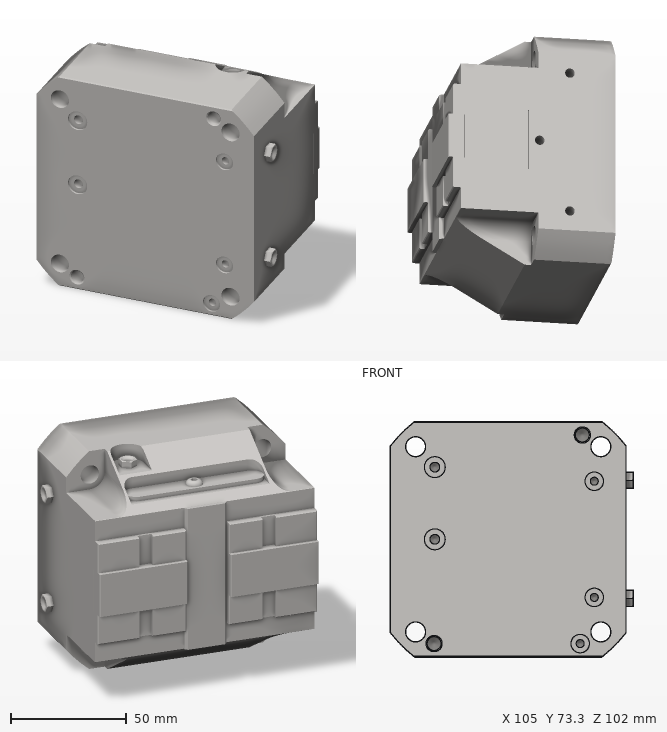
import cadquery as cq
import math

housing_side = 102.0
half_side = housing_side / 2
front_y = 67.9
corner_turning_diameter = 130.0
rear_chamfer = 0.5

slope_angle = 30.0
slope_start_z = 33.0

bolt_offset = 40.0
bolt_hole_diameter = 8.5
bolt_recess_radius = 6.9
bolt_recess_floor_y = 33.9

jaw_inner_x = 10.0
jaw_length = half_side - jaw_inner_x
jaw_top_y = 71.3
jaw_shoulder_y = 61.3
jaw_flange_rear_y = 52.6
jaw_rear_y = 38.1
jaw_neck_half_width = 23.6
jaw_flange_half_width = 29.2
jaw_tongue_half_width = 13.4
jaw_edge_chamfer = 0.4

key_notch_centre = 28.7
key_notch_width = 6.3
key_notch_floor_y = 69.1

insert_top_y = 73.3
insert_rear_y = 66.0
insert_half_width = 9.9
insert_chamfer = 0.5

rib_top_y = 69.8
rib_shoulder_y = 68.7
rib_base_half_width = 9.7
rib_top_half_width = 8.5

window_half_length = 32.0
window_floor_z = 35.9
window_centre_y = 55.3
window_width = 10.1
plate_thickness = 2.0

button_diameter = 7.6
button_flat_diameter = 3.8
button_height = 2.0
button_bulge = 0.5
button_socket_across_flats = 2.7
button_socket_depth = 1.5

port_x = 24.5
port_y = 39.4
port_seat_diameter = 15.0
port_seat_z = 44.1

side_port_y = 15.1
side_port_z = 25.5

plug_height = 3.0
plug_mouth_diameter = 6.0
plug_bevel_angle = 30.0
hex_across_flats = 7.0

drill_point_angle = 118.0
through = 3 * housing_side


def box(x_range, y_range, z_range):
    """Axis-aligned box given by its limits along X, Y and Z."""
    sizes = [high - low for low, high in (x_range, y_range, z_range)]
    corner = (x_range[0], y_range[0], z_range[0])
    return cq.Workplane("XY").box(*sizes, centered=False).translate(corner)


def across_corners(across_flats):
    """Width of a hexagon over its corners."""
    return across_flats / math.cos(math.radians(30))


def drill_point(point, direction, diameter):
    """Conical end of a drilled hole, with its base centred on the point; point and direction are vectors."""
    radius = diameter / 2
    length = radius / math.tan(math.radians(drill_point_angle / 2))
    return cq.Solid.makeCone(radius, 0, length, point, direction)


def drilled_hole(point, direction, diameter, depth):
    """Blind hole with a conical bottom, as a solid to cut away; point and direction are vectors."""
    bore = cq.Solid.makeCylinder(diameter / 2, depth, point, direction)
    return cq.Workplane(bore.fuse(drill_point(point + direction * depth, direction, diameter)))


def tee_profile(x_start):
    """Stepped jaw section, extruded over one jaw length from x_start toward +X."""
    half_outline = [
        (jaw_top_y, jaw_neck_half_width),
        (jaw_shoulder_y, jaw_neck_half_width),
        (jaw_shoulder_y, jaw_flange_half_width),
        (jaw_flange_rear_y, jaw_flange_half_width),
        (jaw_flange_rear_y, jaw_tongue_half_width),
        (jaw_rear_y, jaw_tongue_half_width),
    ]
    mirrored = [(y, -z) for y, z in reversed(half_outline)]
    section = cq.Workplane("YZ", origin=(x_start, 0, 0)).polyline(half_outline + mirrored).close()
    return section.extrude(jaw_length)


def jaw_start(side):
    """Lower X limit of the jaw on the given side (-1 or 1)."""
    return jaw_inner_x if side > 0 else -half_side


def housing_blank():
    """Block with sloping upper and lower faces and corners turned about Y."""
    slope_run = (half_side - slope_start_z) / math.tan(math.radians(slope_angle))
    side_profile = [
        (0, -half_side),
        (0, half_side),
        (front_y - slope_run, half_side),
        (front_y, slope_start_z),
        (front_y, -slope_start_z),
        (front_y - slope_run, -half_side),
    ]
    blank = (
        cq.Workplane("YZ", origin=(-half_side, 0, 0))
        .polyline(side_profile)
        .close()
        .extrude(housing_side)
    )
    blank = blank.faces("<Y").edges("<Z or >Z").chamfer(rear_chamfer)
    turned = cq.Workplane("XZ").circle(corner_turning_diameter / 2).extrude(-front_y)
    return blank.intersect(turned)


def cut_bolt_corners(body):
    """Through hole at each corner, with a deep recess that is open to both outer sides."""
    for side_x in (-1, 1):
        for side_z in (-1, 1):
            x, z = side_x * bolt_offset, side_z * bolt_offset
            reach = bolt_recess_radius
            plan = cq.Workplane("XZ", origin=(x, bolt_recess_floor_y, z))
            recess = plan.circle(reach).extrude(-through)
            for width, height, dx, dz in (
                (through, 2 * reach, through / 2, 0),
                (2 * reach, through, 0, through / 2),
                (through, through, through / 2, through / 2),
            ):
                recess = recess.union(
                    plan.center(side_x * dx, side_z * dz).rect(width, height).extrude(-through)
                )
            hole = cq.Workplane("XZ", origin=(x, 0, z)).circle(bolt_hole_diameter / 2).extrude(-through)
            body = body.cut(recess).cut(hole)
    return body


def cut_jaw_seats(body):
    """Stepped seats that the jaws fill."""
    for side in (-1, 1):
        body = body.cut(tee_profile(jaw_start(side)))
    return body


def add_front_rib(body):
    """Rib across the front face between the jaws, with sloping flanks."""
    half_section = [
        (rib_base_half_width, front_y),
        (rib_base_half_width, rib_shoulder_y),
        (rib_top_half_width, rib_top_y),
    ]
    mirrored = [(-x, y) for x, y in reversed(half_section)]
    section = cq.Workplane("XY", origin=(0, 0, -slope_start_z)).polyline(half_section + mirrored).close()
    return body.union(section.extrude(2 * slope_start_z))


def window_slot(height):
    """Round-ended block standing on the floor of the long pocket."""
    plan = cq.Workplane("XY", origin=(0, window_centre_y, window_floor_z))
    return plan.slot2D(2 * window_half_length, window_width).extrude(height)


def cut_window(body):
    """Long pocket in the upper slope: round corners at the rear, square and open toward the front."""
    front_part = box(
        (-window_half_length, window_half_length),
        (window_centre_y, through),
        (window_floor_z, through),
    )
    return body.cut(window_slot(through)).cut(front_part)


def cut_port_seat(body):
    """Flat round-ended seat in the upper slope, open toward the front."""
    radius = port_seat_diameter / 2
    seat = cq.Workplane("XY", origin=(port_x, port_y, port_seat_z)).circle(radius).extrude(through)
    open_part = box((port_x - radius, port_x + radius), (port_y, through), (port_seat_z, through))
    return body.cut(seat).cut(open_part)


def cut_rear_holes(body):
    """Counterbored and countersunk blind holes in the rear mounting face."""
    counterbored = [
        (-31.7, 31.2, 9.0, 4.2),
        (-31.7, 0.0, 9.0, 4.2),
        (37.2, 25.1, 8.0, 3.5),
        (37.2, -25.1, 8.0, 3.5),
        (31.1, -45.0, 8.0, 3.5),
    ]
    counterbore_depth = 1.0
    hole_depth = 10.5
    inward = cq.Vector(0, 1, 0)
    for x, z, wide, narrow in counterbored:
        mouth = cq.Vector(x, 0, z)
        seat = cq.Solid.makeCylinder(wide / 2, counterbore_depth, mouth, inward)
        body = body.cut(cq.Workplane(seat)).cut(drilled_hole(mouth, inward, narrow, hole_depth))

    dowel_x, dowel_z = 32.0, 45.0
    dowel_diameter, countersink_diameter = 6.0, 7.0
    countersink_depth = (countersink_diameter - dowel_diameter) / 2
    for side in (-1, 1):
        mouth = cq.Vector(side * dowel_x, 0, side * dowel_z)
        countersink = cq.Solid.makeCone(
            countersink_diameter / 2, dowel_diameter / 2, countersink_depth, mouth, inward
        )
        body = body.cut(cq.Workplane(countersink))
        body = body.cut(drilled_hole(mouth, inward, dowel_diameter, hole_depth))
    return body


def cut_side_holes(body):
    """Blind holes in the -X face."""
    side_hole_diameter = 4.2
    side_hole_depth = 10.5
    inward = cq.Vector(1, 0, 0)
    for y, z in ((20.1, 31.5), (33.3, 0.0), (20.1, -31.5)):
        mouth = cq.Vector(-half_side, y, z)
        body = body.cut(drilled_hole(mouth, inward, side_hole_diameter, side_hole_depth))
    return body


def make_jaw(side):
    """Stepped jaw with a cross notch and a lengthwise groove for its insert."""
    start = jaw_start(side)
    jaw = tee_profile(start)
    jaw = jaw.faces(">Y").chamfer(jaw_edge_chamfer)
    jaw = jaw.faces("<Y").edges("|Z").chamfer(jaw_edge_chamfer)
    notch_x = side * key_notch_centre
    notch = box(
        (notch_x - key_notch_width / 2, notch_x + key_notch_width / 2),
        (key_notch_floor_y, through),
        (-through, through),
    )
    insert_groove = box(
        (start, start + jaw_length), (insert_rear_y, through), (-insert_half_width, insert_half_width)
    )
    return jaw.cut(notch).cut(insert_groove)


def make_jaw_insert(side):
    """Bar that fills the groove of the jaw and stands above it."""
    start = jaw_start(side)
    bar = box(
        (start, start + jaw_length),
        (insert_rear_y, insert_top_y),
        (-insert_half_width, insert_half_width),
    )
    bar = bar.faces(">Y").edges("|Z").chamfer(insert_chamfer)
    return bar.faces("<Y").edges("|Z").chamfer(jaw_edge_chamfer)


def make_button():
    """Domed screw head with a hexagonal socket, built at the middle of the plate."""
    rim, flat = button_diameter / 2, button_flat_diameter / 2
    cone_side = math.hypot(rim - flat, button_height)
    dome_point = (
        (rim + flat) / 2 + button_bulge * button_height / cone_side,
        button_height / 2 + button_bulge * (rim - flat) / cone_side,
    )
    dome = (
        cq.Workplane("XZ")
        .lineTo(rim, 0)
        .threePointArc(dome_point, (flat, button_height))
        .lineTo(0, button_height)
        .close()
        .revolve(360, (0, 0, 0), (0, 1, 0))
    )
    socket = (
        cq.Workplane("XY", origin=(0, 0, button_height))
        .transformed(rotate=(0, 0, 90))
        .polygon(6, across_corners(button_socket_across_flats))
        .extrude(-button_socket_depth)
    )
    return dome.cut(socket).translate((0, window_centre_y, window_floor_z + plate_thickness))


def make_port_plug(point, direction):
    """Hexagonal plug standing on a face, with a conical mouth and two corners pointing along Y."""
    seat = cq.Plane(origin=point, xDir=(0, 1, 0), normal=direction)
    plug = cq.Workplane(seat).polygon(6, across_corners(hex_across_flats)).extrude(plug_height)
    outward = cq.Vector(*direction)
    flat_radius = hex_across_flats / 2
    wide_radius = flat_radius + plug_height / math.tan(math.radians(plug_bevel_angle))
    plug = plug.intersect(
        cq.Workplane(cq.Solid.makeCone(wide_radius, flat_radius, plug_height, cq.Vector(*point), outward))
    )
    mouth = cq.Vector(*point) + outward * plug_height
    return plug.cut(cq.Workplane(drill_point(mouth, -outward, plug_mouth_diameter)))


housing = housing_blank()
housing = cut_bolt_corners(housing)
housing = add_front_rib(housing)
housing = cut_jaw_seats(housing)
housing = cut_window(housing)
housing = cut_port_seat(housing)
housing = cut_rear_holes(housing)
housing = cut_side_holes(housing)

sides = (-1, 1)
jaws = [make_jaw(side).val() for side in sides]
jaw_inserts = [make_jaw_insert(side).val() for side in sides]
window_plate = window_slot(plate_thickness)
button = make_button()

port_places = [((port_x, port_y, port_seat_z), (0, 0, 1))]
port_places += [((half_side, side_port_y, side * side_port_z), (1, 0, 0)) for side in sides]
port_plugs = [make_port_plug(point, direction).val() for point, direction in port_places]

result = cq.Compound.makeCompound([
    housing.val(),
    *jaws,
    *jaw_inserts,
    window_plate.val(),
    button.val(),
    *port_plugs,
])